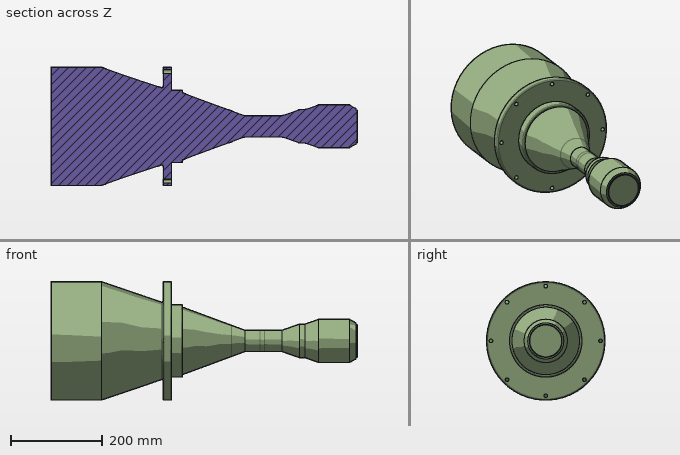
import cadquery as cq

LENGTH = 670.7
DRUM_END = 110.0
FLANGE_START = 245.0
FLANGE_THICKNESS = 19.0
FLANGE_END = FLANGE_START + FLANGE_THICKNESS
COLLAR_END = 288.0
FRONT_CONE_SPLIT = 394.5
STEM_START = 424.5
STEM_BAND_START = 457.0
STEM_BAND_END = 467.0
STEM_END = 505.5
WAIST_START = 544.0
WAIST_END = 556.0
HEAD_START = 586.0
HEAD_END = 653.0
NOSE_END = 668.0

DRUM_RADIUS = 130.0
NECK_RADIUS = 84.0
FLANGE_RADIUS = 130.0
COLLAR_RADIUS = 79.5
FRONT_CONE_RADIUS = 74.0
STEM_RADIUS = 23.5
WAIST_RADIUS = 37.0
HEAD_RADIUS = 47.5
NOSE_RADIUS = 39.5
TIP_RADIUS = 36.0

TIP_CHAMFER = 1.0

FILLET = 2.5

EDGE_TOLERANCE = 0.01

HOLE_COUNT = 8
HOLE_DIAMETER = 8.0
HOLE_CIRCLE_RADIUS = 120.0


def make_body():
    """Whole turned shape: one half profile of (x, radius) revolved about X."""
    split_fraction = (FRONT_CONE_SPLIT - COLLAR_END) / (STEM_START - COLLAR_END)
    split_radius = FRONT_CONE_RADIUS + split_fraction * (STEM_RADIUS - FRONT_CONE_RADIUS)

    profile = [
        (0, 0),
        (0, DRUM_RADIUS),
        (DRUM_END, DRUM_RADIUS),
        (FLANGE_START, NECK_RADIUS),
        (FLANGE_START, FLANGE_RADIUS),
        (FLANGE_END, FLANGE_RADIUS),
        (FLANGE_END, COLLAR_RADIUS),
        (COLLAR_END, COLLAR_RADIUS),
        (COLLAR_END, FRONT_CONE_RADIUS),
        (FRONT_CONE_SPLIT, split_radius),
        (STEM_START, STEM_RADIUS),
        (STEM_BAND_START, STEM_RADIUS),
        (STEM_BAND_END, STEM_RADIUS),
        (STEM_END, STEM_RADIUS),
        (WAIST_START, WAIST_RADIUS),
        (WAIST_END, WAIST_RADIUS),
        (HEAD_START, HEAD_RADIUS),
        (HEAD_END, HEAD_RADIUS),
        (NOSE_END, NOSE_RADIUS),
        (NOSE_END, TIP_RADIUS),
        (LENGTH - TIP_CHAMFER, TIP_RADIUS),
        (LENGTH, TIP_RADIUS - TIP_CHAMFER),
        (LENGTH, 0),
    ]
    return cq.Workplane("XZ").polyline(profile).close().revolve(360, (0, 0, 0), (1, 0, 0), clean=False)


def round_edge(body, x, radius):
    """Fillet the circular edge that lies at station x with the given radius."""

    def is_wanted(edge):
        at_station = abs(edge.Center().x - x) < EDGE_TOLERANCE
        return at_station and abs(edge.radius() - radius) < EDGE_TOLERANCE

    wanted = [edge for edge in body.edges("%CIRCLE").vals() if is_wanted(edge)]
    return body.newObject([body.val().fillet(FILLET, wanted)])


def make_flange_holes():
    """Ring of through-hole cutters, as deep as the flange."""
    return (
        cq.Workplane("YZ", origin=(FLANGE_START, 0, 0))
        .polarArray(HOLE_CIRCLE_RADIUS, 0, 360, HOLE_COUNT)
        .circle(HOLE_DIAMETER / 2)
        .extrude(FLANGE_THICKNESS)
    )


rounded_edges = [
    (FLANGE_START, FLANGE_RADIUS),
    (FLANGE_END, FLANGE_RADIUS),
    (FLANGE_START, NECK_RADIUS),
    (COLLAR_END, COLLAR_RADIUS),
]
body = make_body()
for station, edge_radius in rounded_edges:
    body = round_edge(body, station, edge_radius)

result = body.cut(make_flange_holes(), clean=False)